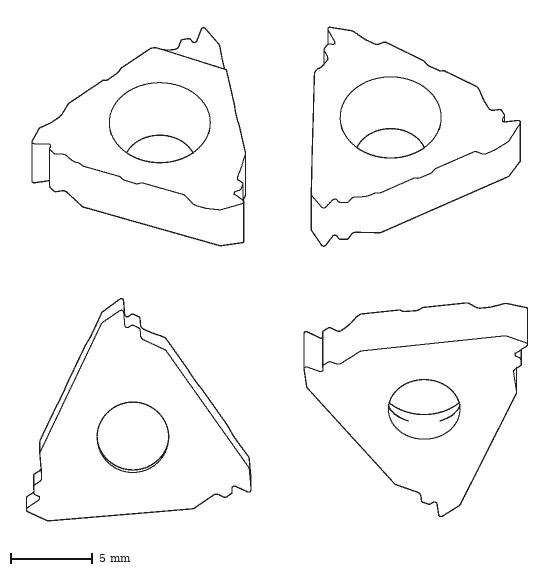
import cadquery as cq
import math

corner_turns = (0, 120, 240)

thickness = 4.12
side_distance = 4.77

side_edge = (180, side_distance)
main_outer_flank = (210, 6.96)
main_inner_flank = (-30, 0.1)
small_outer_flank = (210, 5.8)
small_crest = (-90, 6.35)
small_inner_flank = (-30, 1.01)
land_edge = (-90, 5.8)
next_side_edge = (-60, side_distance)
corner_edges = [
    side_edge, main_outer_flank, main_inner_flank, small_outer_flank,
    small_crest, small_inner_flank, land_edge, next_side_edge,
]

tooth_radius = 0.15
blend_radius = 0.3
corner_radii = [blend_radius] + [tooth_radius] * 4 + [blend_radius] * 2

tip_reach = 6.9
rake_tip_z = 3.95
rake_angle = 15
wall_distance = 5.34
wall_direction = -122
wall_angle = 55
heel_z = 3.37
heel_angle = 4
floor_radius = 0.35
wall_top_radius = 0.21
chip_block_width = 9.7

pocket_start = (-3.52, 0.58)
pocket_direction = 195.5
pocket_slope = 11
pocket_floor_width = 0.87
pocket_wall_angle = 45
pocket_floor_radius = 0.3
pocket_rim_radius = 0.14
pocket_length = 2.22
pocket_height = 0.83

bore_radius = 4.4 / 2
rim_radius = 3.1
seat_outer_radius = 3.0
seat_arc_radius = 3.98
seat_end_depth = 3.53
seat_corner_radius = 0.42

stock_size = 41.58


def edge_crossing(first, second):
    """Point where two straight edges, given by normal direction and distance, cross."""
    a, b = math.radians(first[0]), math.radians(second[0])
    spread = math.sin(b - a)
    x = (first[1] * math.sin(b) - second[1] * math.sin(a)) / spread
    y = (second[1] * math.cos(a) - first[1] * math.cos(b)) / spread
    return x, y


def turned(point, angle):
    """Point turned about the hole axis."""
    c, s = math.cos(math.radians(angle)), math.sin(math.radians(angle))
    return point[0] * c - point[1] * s, point[0] * s + point[1] * c


def turned_shape(shape, angle):
    """Shape turned about the hole axis."""
    return shape.rotate((0, 0, 0), (0, 0, 1), angle)


def make_body():
    """Prismatic body with the three toothed corners."""
    corner = [edge_crossing(a, b) for a, b in zip(corner_edges, corner_edges[1:])]
    outline = [turned(point, angle) for angle in corner_turns for point in corner]
    body = cq.Workplane("XY").polyline(outline).close().extrude(thickness)
    for point, radius in zip(outline, corner_radii * len(corner_turns)):
        edge = cq.selectors.NearestToPointSelector((*point, thickness / 2))
        body = body.edges("|Z").edges(edge).fillet(radius)
    return body


def space_above(origin, direction, angle):
    """Block above a plane that falls away by the angle towards the given direction."""
    tilt, heading = math.radians(angle), math.radians(direction)
    normal = (
        math.sin(tilt) * math.cos(heading),
        math.sin(tilt) * math.sin(heading),
        math.cos(tilt),
    )
    plane = cq.Plane(origin=origin, xDir=(-math.sin(heading), math.cos(heading), 0), normal=normal)
    return cq.Workplane(plane).rect(stock_size, stock_size).extrude(stock_size)


def make_chip_breaker():
    """Tool that leaves the rake face, heel facet and chip breaker wall of one tooth."""
    wall_top = turned((wall_distance, 0), wall_direction)
    space = space_above((0, -tip_reach, rake_tip_z), 90, rake_angle)
    space = space.intersect(space_above((-side_distance, 0, heel_z), 0, heel_angle))
    space = space.intersect(space_above((*wall_top, thickness), wall_direction, wall_angle))
    space = space.vertices("<Z").ancestors("Edge").fillet(floor_radius)
    block = cq.Workplane("XY").rect(stock_size, chip_block_width).extrude(thickness)
    block = turned_shape(block, wall_direction)
    kept = block.cut(space)
    wall_edge = cq.selectors.NearestToPointSelector((*wall_top, thickness))
    kept = kept.edges(wall_edge).fillet(wall_top_radius)
    return block.cut(kept)


def make_pocket():
    """Tool for one side pocket: a flat-floored channel that deepens towards the side."""
    slope, heading = math.radians(pocket_slope), math.radians(pocket_direction)
    outward = (
        math.cos(slope) * math.cos(heading),
        math.cos(slope) * math.sin(heading),
        -math.sin(slope),
    )
    across = (-math.sin(heading), math.cos(heading), 0)
    plane = cq.Plane(origin=(*pocket_start, thickness), xDir=across, normal=outward)
    floor_half = pocket_floor_width / 2
    top_half = floor_half + pocket_height / math.tan(math.radians(pocket_wall_angle))
    section = [
        (-floor_half, 0), (floor_half, 0), (top_half, pocket_height), (-top_half, pocket_height),
    ]
    channel = cq.Workplane(plane).polyline(section).close().extrude(pocket_length)
    for side in (-floor_half, floor_half):
        floor_edge = plane.toWorldCoords((side, 0, pocket_length / 2))
        channel = channel.edges(cq.selectors.NearestToPointSelector(floor_edge)).fillet(pocket_floor_radius)
    return channel


def make_screw_hole():
    """Tool for the screw hole: tapered mouth, seat curving into the bore, and bore."""

    def seat_point(radius):
        arc_center = bore_radius + seat_arc_radius
        rise = math.sqrt(seat_arc_radius ** 2 - (arc_center - radius) ** 2)
        return radius, thickness - seat_end_depth + rise

    seat_outer = seat_point(seat_outer_radius)
    hole = (
        cq.Workplane("XZ")
        .lineTo(bore_radius, 0)
        .lineTo(*seat_point(bore_radius))
        .threePointArc(seat_point((bore_radius + seat_outer_radius) / 2), seat_outer)
        .lineTo(rim_radius, thickness)
        .lineTo(0, thickness)
        .close()
        .revolve(360, (0, 0, 0), (0, 1, 0))
    )
    seat_edge = cq.selectors.NearestToPointSelector((0, 0, seat_outer[1]))
    return hole.edges("%CIRCLE").edges(seat_edge).fillet(seat_corner_radius)


result = make_body()
chip_breaker = make_chip_breaker()
pocket = make_pocket()
for angle in corner_turns:
    result = result.cut(turned_shape(chip_breaker, angle))
    result = result.cut(turned_shape(pocket, angle))
    pocket_end = cq.selectors.NearestToPointSelector((*turned(pocket_start, angle), thickness))
    result = result.edges(pocket_end).fillet(pocket_rim_radius)
result = result.cut(make_screw_hole())